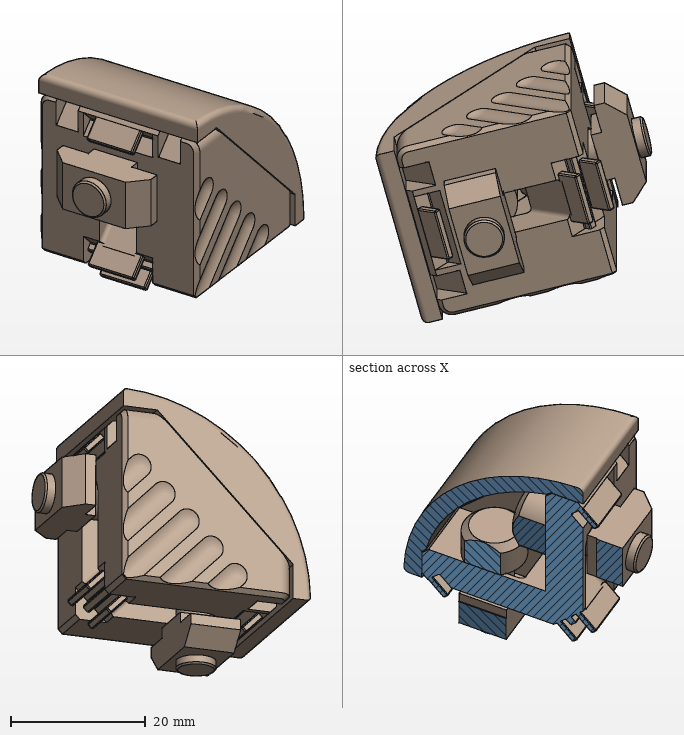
import cadquery as cq
import math

LENGTH = 38.18
HEIGHT = 37.95
WIDTH = 28.0
BRACKET_LEG = 26.95
COVER_RADIUS = 30.0
COVER_SUM = 32.3
COVER_GAP = 0.15
COVER_FILLET = 0.95
COVER_PEAK = COVER_FILLET + math.sqrt((COVER_RADIUS - COVER_FILLET) ** 2 - COVER_FILLET**2)
BODY_FILLET = 2.0
BODY_CHAMFER = 0.7

SCREW_OFFSET = 16.85
SCREW_DIAMETER = 6.0
HEAD_DIAMETER = 9.93
HEAD_TOP = SCREW_OFFSET - HEAD_DIAMETER / 2
HEAD_CHAMFER = 1.1
TIP_CHAMFER = 0.25
FRONT_TIP = LENGTH - COVER_PEAK
BOTTOM_TIP = HEIGHT - COVER_PEAK
WALL = 6.35
CAVITY_WIDTH = 12.2

SLOT_WIDTH = 6.5
SLOT_FLOOR = 3.97
SLOT_START = 4.35
SLOT_FILLET = 0.7

NUT_WIDTH = 16.57
NUT_NECK_WIDTH = 7.65
NUT_THICKNESS = 7.9
NUT_START = 0.6
NUT_SHOULDER = 2.2
NUT_END = 6.6
NUT_CHAMFER = 2.75

TAB_WIDTH = 8.0
TAB_CHAMFER = 0.2
TAB_THICKNESS = 1.6
OUTER_TAB_FACE = 25.92
OUTER_TAB_END = 20.77
INNER_TAB_FACE = 4.0
INNER_TAB_END = -0.42
POCKET_WIDTH = 12.2
OUTER_POCKET_FLOOR = 22.03
OUTER_POCKET_END = 26.0
INNER_POCKET_END = 4.93
TAB_ROOT = 0.4
POCKET_BEVEL = 0.23
RIB_HALF = 0.9
RIB_TIP = 3.2
RIB_BEVEL = 0.25

CLIP_WIDTH = 3.7
CLIP_SPACING = 18.02
CLIP_GAP = 0.1
CLIP_DEPTH = COVER_SUM - BRACKET_LEG
CLIP_FOOT = 22.4

GROOVE_COUNT = 5
GROOVE_PITCH = 3.8
GROOVE_SUM = 20.43
GROOVE_HALF_WIDTH = 1.8
GROOVE_DEPTH = 0.55

MARGIN = 3.8
BRACKET_SUM = COVER_SUM - COVER_GAP
MIRROR_NORMAL = cq.Vector(0, 1, -1)


def prism(points, width):
    """Outline of (y, z) points extruded along X, centred on x = 0."""
    outline = cq.Workplane("YZ").polyline(points).close()
    return outline.extrude(width / 2, both=True)


def diagonal(difference, total):
    """Point (y, z) given by z - y and y + z."""
    return ((total - difference) / 2, (total + difference) / 2)


def mirrored(shape):
    """Copy of a shape with Y and Z swapped."""
    return shape.mirror(MIRROR_NORMAL)


def with_mirror(shape):
    """A shape joined to its mirror copy."""
    return shape.union(mirrored(shape))


def bracket_blank():
    slope_start = BRACKET_SUM - BRACKET_LEG
    blank = prism(
        [
            (0, 0),
            (BRACKET_LEG, 0),
            (BRACKET_LEG, slope_start),
            (slope_start, BRACKET_LEG),
            (0, BRACKET_LEG),
        ],
        WIDTH,
    )
    blank = blank.faces(">Z").edges("|Y").fillet(BODY_FILLET)
    blank = blank.faces(">Y").edges("|Z").fillet(BODY_FILLET)
    return blank.faces("<Y or <Z").edges().chamfer(BODY_CHAMFER)


def head_cavity():
    reach = BRACKET_SUM - WALL + MARGIN
    return prism([(WALL, WALL), (reach, WALL), (WALL, reach)], CAVITY_WIDTH)


def screw_slot():
    floor = prism(
        [
            diagonal(SLOT_FLOOR, SLOT_START),
            (WALL, WALL + SLOT_FLOOR),
            (WALL, SCREW_OFFSET),
            (-MARGIN, SCREW_OFFSET),
            (-MARGIN, SLOT_START + MARGIN),
        ],
        SLOT_WIDTH,
    )
    along_floor = cq.selectors.ParallelDirSelector(cq.Vector(0, 1, 1))
    floor = floor.edges(along_floor).fillet(SLOT_FILLET)
    hole = front_cylinder(SLOT_WIDTH, -MARGIN, WALL)
    return floor.union(hole)


def front_cylinder(diameter, start, end):
    """Cylinder on the front screw axis between two y positions."""
    circle = cq.Workplane("XZ", origin=(0, start, SCREW_OFFSET)).circle(diameter / 2)
    return circle.extrude(start - end)


def outer_pocket():
    root_y = (OUTER_POCKET_END - POCKET_BEVEL - OUTER_POCKET_FLOOR) / 2
    root_z = OUTER_POCKET_FLOOR + root_y
    return prism(
        [
            (-MARGIN, OUTER_POCKET_FLOOR - MARGIN),
            (root_y, root_z),
            (root_y, root_z + POCKET_BEVEL),
            (-MARGIN, OUTER_POCKET_END + MARGIN),
        ],
        POCKET_WIDTH,
    )


def edge_relief():
    """Larger bevel of the top edge between the clips."""
    return prism(
        [
            (-MARGIN, OUTER_POCKET_END - MARGIN),
            (MARGIN, OUTER_POCKET_END + MARGIN),
            (-MARGIN, OUTER_POCKET_END + MARGIN),
        ],
        CLIP_SPACING - CLIP_WIDTH - 2 * CLIP_GAP,
    )


def inner_pocket():
    """Open pocket across the corner, around the rib between the inner tabs."""
    corner = prism(
        [
            (-MARGIN, -MARGIN),
            (INNER_POCKET_END + MARGIN, -MARGIN),
            (-MARGIN, INNER_POCKET_END + MARGIN),
        ],
        POCKET_WIDTH,
    )
    tip_y, tip_z = diagonal(RIB_HALF, RIB_TIP + RIB_BEVEL)
    root_y, root_z = diagonal(RIB_HALF, INNER_POCKET_END - POCKET_BEVEL)
    rib = prism(
        [
            (tip_y, tip_z - RIB_BEVEL),
            (tip_y, tip_z),
            (root_y, root_z),
            (root_y, root_z + POCKET_BEVEL),
            (root_z + POCKET_BEVEL, root_y),
            (root_z, root_y),
            (tip_z, tip_y),
            (tip_z - RIB_BEVEL, tip_y),
        ],
        POCKET_WIDTH,
    )
    return corner.cut(rib)


def tab(face, tip, root):
    """Sloping tab with its upper face at z - y = face, from y + z = tip to root."""
    bar = prism(
        [
            diagonal(face, tip),
            diagonal(face, root),
            diagonal(face - TAB_THICKNESS, root),
            diagonal(face - TAB_THICKNESS, tip),
        ],
        TAB_WIDTH,
    )
    tip_side = cq.selectors.DirectionMinMaxSelector(cq.Vector(0, 1, 1), directionMax=False)
    along_tab = cq.selectors.ParallelDirSelector(cq.Vector(0, 1, 1))
    return bar.edges(along_tab + tip_side).chamfer(TAB_CHAMFER)


def clip_notches():
    top = BRACKET_LEG + MARGIN
    notch = prism(
        [(-MARGIN, CLIP_FOOT), (CLIP_DEPTH, CLIP_FOOT), (CLIP_DEPTH, top), (-MARGIN, top)],
        CLIP_WIDTH + 2 * CLIP_GAP,
    )
    return two_sided(notch)


def two_sided(shape):
    """A centred shape repeated at the two clip positions."""
    left = shape.translate((-CLIP_SPACING / 2, 0, 0))
    return left.union(shape.translate((CLIP_SPACING / 2, 0, 0)))


def grip_grooves():
    """Round-ended grooves running down to the corner in both sides."""
    radius = (GROOVE_HALF_WIDTH**2 + GROOVE_DEPTH**2) / (2 * GROOVE_DEPTH)
    axis_x = WIDTH / 2 - GROOVE_DEPTH + radius
    direction = cq.Vector(0, -1, -1)
    grooves = []
    for side in (-1, 1):
        for index in range(GROOVE_COUNT):
            step = index - (GROOVE_COUNT - 1) / 2
            y = GROOVE_SUM / 2 + step * GROOVE_PITCH
            z = GROOVE_SUM - y
            end = cq.Vector(side * axis_x, y, z)
            bar = cq.Solid.makeCylinder(radius, GROOVE_SUM, end, direction)
            ball = cq.Workplane("XY").sphere(radius).translate(end)
            grooves.append(ball.union(cq.Workplane(obj=bar)))
    return grooves


def make_bracket():
    body = bracket_blank().cut(head_cavity()).cut(inner_pocket())
    for cutter in (outer_pocket(), edge_relief(), clip_notches()):
        body = body.cut(cutter).cut(mirrored(cutter))
    for groove in grip_grooves():
        body = body.cut(groove)
    outer_tab = tab(OUTER_TAB_FACE, OUTER_TAB_END, OUTER_POCKET_END + TAB_ROOT)
    inner_tab = tab(INNER_TAB_FACE, INNER_TAB_END, INNER_POCKET_END + TAB_ROOT)
    for shape in (outer_tab, inner_tab):
        body = body.union(with_mirror(shape))
    return body.cut(screw_slot()).cut(mirrored(screw_slot()))


def make_cover():
    middle = COVER_RADIUS * math.sqrt(0.5)
    shell = (
        cq.Workplane("YZ")
        .moveTo(0, BRACKET_LEG)
        .lineTo(0, COVER_RADIUS)
        .threePointArc((middle, middle), (COVER_RADIUS, 0))
        .lineTo(BRACKET_LEG, 0)
        .lineTo(BRACKET_LEG, CLIP_DEPTH)
        .lineTo(CLIP_DEPTH, BRACKET_LEG)
        .close()
        .extrude(WIDTH / 2, both=True)
    )
    shell = shell.faces("%CYLINDER").edges().fillet(COVER_FILLET)
    clip = prism(
        [
            (0, CLIP_FOOT),
            (CLIP_DEPTH, CLIP_FOOT),
            (CLIP_DEPTH, BRACKET_LEG),
            (BRACKET_LEG - CLIP_FOOT, BRACKET_LEG),
        ],
        CLIP_WIDTH,
    )
    clips = two_sided(clip)
    hollow = cq.Workplane("YZ").circle(BRACKET_LEG).extrude(CAVITY_WIDTH / 2, both=True)
    shell = shell.cut(hollow)
    return shell.union(clips).union(mirrored(clips))


def make_screw(tip):
    shank = front_cylinder(SCREW_DIAMETER, -tip, WALL).faces("<Y").chamfer(TIP_CHAMFER)
    head = front_cylinder(HEAD_DIAMETER, WALL, HEAD_TOP).faces(">Y").chamfer(HEAD_CHAMFER)
    return shank.union(head)


def make_nut():
    half = NUT_WIDTH / 2
    neck = NUT_NECK_WIDTH / 2
    nut = (
        cq.Workplane("XY", origin=(0, 0, SCREW_OFFSET))
        .polyline(
            [
                (-neck, -NUT_START),
                (-neck, -NUT_SHOULDER),
                (-half, -NUT_SHOULDER),
                (-half, NUT_CHAMFER - NUT_END),
                (NUT_CHAMFER - half, -NUT_END),
                (half - NUT_CHAMFER, -NUT_END),
                (half, NUT_CHAMFER - NUT_END),
                (half, -NUT_SHOULDER),
                (neck, -NUT_SHOULDER),
                (neck, -NUT_START),
            ]
        )
        .close()
        .extrude(NUT_THICKNESS / 2, both=True)
    )
    return nut.cut(front_cylinder(SCREW_DIAMETER, -NUT_END, -NUT_START))


bracket = make_bracket()
cover = make_cover()
screws = []
nuts = []
for tip, on_bottom in ((FRONT_TIP, False), (BOTTOM_TIP, True)):
    screw = make_screw(tip)
    nut = make_nut()
    if on_bottom:
        screw = mirrored(screw)
        nut = mirrored(nut)
    screws.append(screw.solids().val())
    nuts.append(nut.solids().val())

result = cq.Compound.makeCompound([bracket.solids().val(), cover.solids().val(), *screws, *nuts])